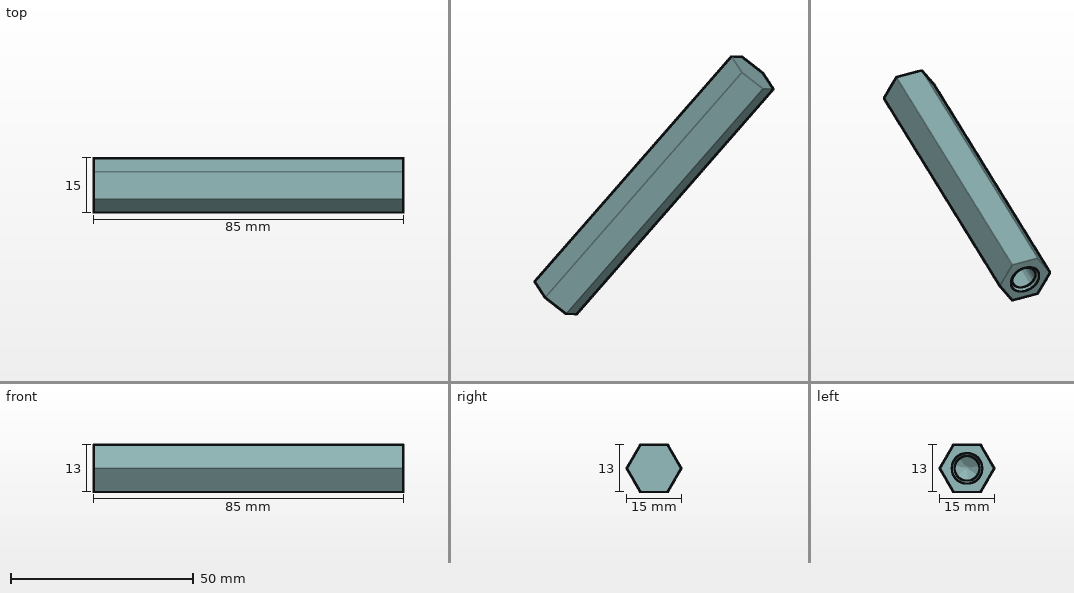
import cadquery as cq
import math

LENGTH = 85.0
ACROSS_FLATS = 13.0
EDGE_RADIUS = 0.1

BORE_DIAMETER = 6.8
BORE_DEPTH = 20.0
DRILL_POINT_ANGLE = 118.0
COUNTERSINK_DIAMETER = 8.4
COUNTERSINK_ANGLE = 90.0


def cone_depth(radial_change, included_angle):
    """Axial length over which a cone changes radius by the given amount."""
    return radial_change / math.tan(math.radians(included_angle / 2))


def hex_bar():
    """Bar with flats at top and bottom and every edge lightly rounded."""
    across_corners = ACROSS_FLATS / math.cos(math.pi / 6)
    bar = cq.Workplane("YZ").polygon(6, across_corners).extrude(LENGTH)
    return bar.edges().fillet(EDGE_RADIUS).translate((-LENGTH / 2, 0, 0))


def drilled_hole():
    """Countersink, bore and conical drill point as one revolved cutter."""
    bore_radius = BORE_DIAMETER / 2
    mouth_radius = COUNTERSINK_DIAMETER / 2
    mouth_x = -LENGTH / 2
    countersink_x = mouth_x + cone_depth(mouth_radius - bore_radius, COUNTERSINK_ANGLE)
    bore_end_x = mouth_x + BORE_DEPTH
    tip_x = bore_end_x + cone_depth(bore_radius, DRILL_POINT_ANGLE)
    profile = cq.Workplane("XY").polyline([
        (mouth_x, 0),
        (mouth_x, mouth_radius),
        (countersink_x, bore_radius),
        (bore_end_x, bore_radius),
        (tip_x, 0),
    ]).close()
    return profile.revolve(360, (0, 0, 0), (1, 0, 0))


result = hex_bar().cut(drilled_hole())